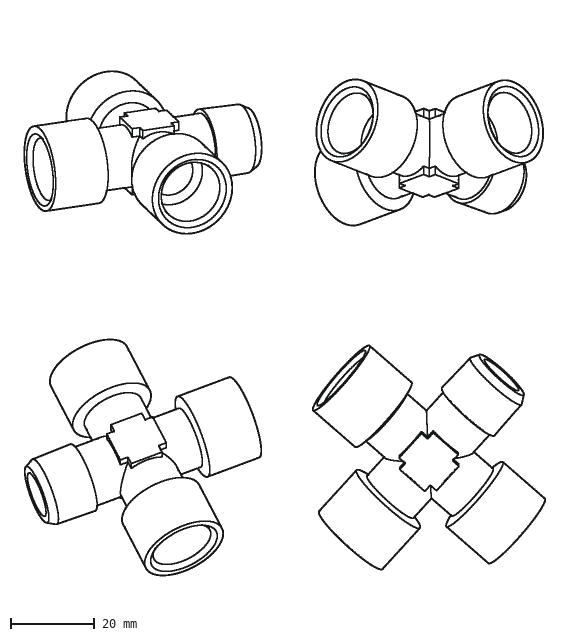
import cadquery as cq

span = 56.0
reach = span / 2
tube_radius = 7.5
bore_radius = 5.5

socket_radius = 10.25
socket_length = 14.15
shoulder_length = 0.7
mouth_radius = 8.7
socket_bore_radius = 7.5
mouth_depth = 1.2
socket_bore_depth = 12.5
bore_cone_length = 4.35
front_bore_drop = 0.35

spigot_reach = 26.0
spigot_length = 12.0
spigot_base_radius = 8.5
spigot_front_radius = 8.3
spigot_tip_radius = 7.15
spigot_tip_length = 2.0

pad_length = 12.0
pad_arm_width = 8.0
pad_height = 8.5


def revolve_about_x(profile):
    """Solid of revolution about X from (x, radius) points."""
    return cq.Workplane("XY").polyline(profile).close().revolve(360, (0, 0, 0), (1, 0, 0))


def socket_body():
    """Tube and enlarged socket pointing along +X."""
    back = reach - socket_length
    return revolve_about_x([
        (0, 0),
        (0, tube_radius),
        (back, tube_radius),
        (back + shoulder_length, socket_radius),
        (reach, socket_radius),
        (reach, 0),
    ])


def socket_bore():
    """Countersunk, drilled socket bore with a conical bottom running to a point."""
    bottom = reach - socket_bore_depth
    return revolve_about_x([
        (bottom - bore_cone_length, 0),
        (bottom, socket_bore_radius),
        (reach - mouth_depth, socket_bore_radius),
        (reach, mouth_radius),
        (reach, 0),
    ])


def spigot_body():
    """Tube and tapered spigot pointing along +X."""
    back = spigot_reach - spigot_length
    return revolve_about_x([
        (0, 0),
        (0, tube_radius),
        (back, tube_radius),
        (back, spigot_base_radius),
        (spigot_reach - spigot_tip_length, spigot_front_radius),
        (spigot_reach, spigot_tip_radius),
        (spigot_reach, 0),
    ])


def passage(length):
    """Straight passage from the centre along +X."""
    return cq.Workplane("YZ").circle(bore_radius).extrude(length)


def turned(shape, angle):
    """Shape turned about the vertical axis."""
    return shape.rotate((0, 0, 0), (0, 0, 1), angle)


body = cq.Workplane("XY").box(pad_length, pad_arm_width, 2 * pad_height)
body = body.union(cq.Workplane("XY").box(pad_arm_width, pad_length, 2 * pad_height))

sockets = ((0, 0), (180, 0), (270, front_bore_drop))
spigot_angle = 90

for angle, _ in sockets:
    body = body.union(turned(socket_body(), angle))
body = body.union(turned(spigot_body(), spigot_angle))

for angle, bore_drop in sockets:
    body = body.cut(turned(passage(reach), angle))
    body = body.cut(turned(socket_bore(), angle).translate((0, 0, -bore_drop)))
body = body.cut(turned(passage(spigot_reach), spigot_angle))

result = body